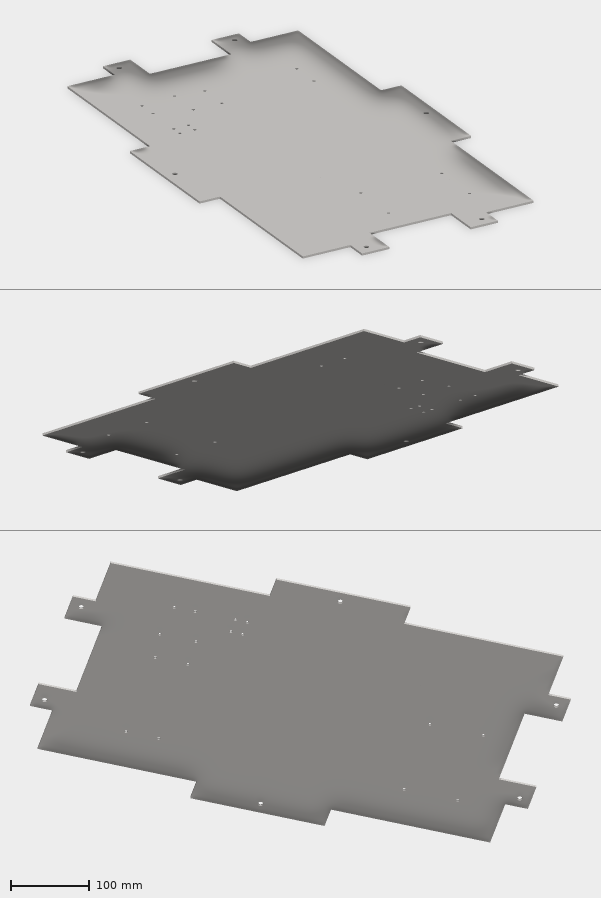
import cadquery as cq

thickness = 3.0
body_half_length = 300.0
body_half_width = 170.0

side_tab_half_length = 89.0
overall_half_width = 200.0

overall_half_length = 330.0
end_tab_outer_y = 100.0
end_tab_inner_y = 60.0
notch_half_length = 280.0

tab_hole_diameter = 7.0
tab_hole_edge_distance = 15.0
end_tab_hole_y = 85.0

equipment_hole_diameter = 4.3

left_pattern = (-178.2, 42.3, 43.3, 135.6)
right_pattern = (204.5, 50.6, 71.0, 119.2)
small_pattern = (-111.9, -106.7, 15.7, 21.8)

board_wide_row_x = -205.7
board_wide_row_y = -66.7
board_wide_row_spacing = 47.9
board_narrow_row_offset = 4.9
board_narrow_row_spacing = 27.7
board_row_distance = 50.6


def make_plate():
    """Rectangular body with its tabs and the notches in the short edges."""

    def block(half_length, half_width):
        return cq.Workplane("XY").box(
            2 * half_length, 2 * half_width, thickness, centered=(True, True, False)
        )

    plate = block(body_half_length, body_half_width)
    plate = plate.union(block(side_tab_half_length, overall_half_width))
    plate = plate.union(block(overall_half_length, end_tab_outer_y))
    notch_depth = overall_half_length - notch_half_length
    notch_center_x = (overall_half_length + notch_half_length) / 2
    notches = (
        cq.Workplane("XY")
        .pushPoints([(-notch_center_x, 0), (notch_center_x, 0)])
        .rect(notch_depth, 2 * end_tab_inner_y)
        .extrude(thickness)
    )
    return plate.cut(notches)


def rectangle_corners(center_x, center_y, spacing_x, spacing_y):
    """Corner points of a rectangular hole pattern."""
    return [
        (center_x + side_x * spacing_x / 2, center_y + side_y * spacing_y / 2)
        for side_x in (-1, 1)
        for side_y in (-1, 1)
    ]


def tab_hole_points():
    """One hole in every tab."""
    end_hole_x = overall_half_length - tab_hole_edge_distance
    side_hole_y = overall_half_width - tab_hole_edge_distance
    points = rectangle_corners(0, 0, 2 * end_hole_x, 2 * end_tab_hole_y)
    return points + [(0, -side_hole_y), (0, side_hole_y)]


def board_hole_points():
    """Four holes of the circuit board pattern."""
    narrow_row_x = board_wide_row_x + board_narrow_row_offset
    narrow_row_y = board_wide_row_y - board_row_distance
    return [
        (board_wide_row_x, board_wide_row_y),
        (board_wide_row_x + board_wide_row_spacing, board_wide_row_y),
        (narrow_row_x, narrow_row_y),
        (narrow_row_x + board_narrow_row_spacing, narrow_row_y),
    ]


def drill(plate, points, diameter):
    """Cut a straight through hole at every point."""
    drills = cq.Workplane("XY").pushPoints(points).circle(diameter / 2).extrude(thickness)
    return plate.cut(drills)


def equipment_hole_points():
    """Holes of the circuit board and of the rectangular patterns."""
    points = board_hole_points()
    for pattern in (left_pattern, right_pattern, small_pattern):
        points += rectangle_corners(*pattern)
    return points


result = make_plate()
result = drill(result, tab_hole_points(), tab_hole_diameter)
result = drill(result, equipment_hole_points(), equipment_hole_diameter)